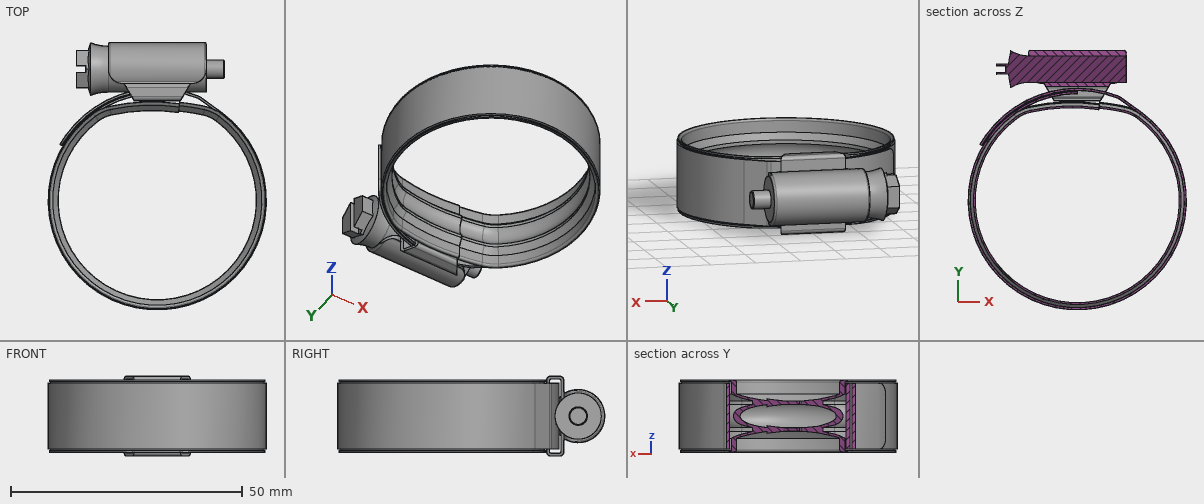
import cadquery as cq
import math


SHEET = 0.5

BAND_OUTER_R = 23.62
BAND_WIDTH = 14.3
LAP_GAP = 0.2
TAIL_END_ANGLE = 150
TAIL_CORNER_R = 2.5
CREST_BEND_R = 3.0
RAMP_SLOPE = math.radians(36)

LINER_WIDTH = 15.7
LINER_OUTER_R = BAND_OUTER_R - SHEET
RIM_THICKNESS = 0.4
RIM_HEIGHT = 0.25
RIM_ROUND = 0.5
BEAD_HEIGHT = 1.2
BEAD_FOOT_Z = 4.8
BEAD_CREST_Z = 3.3
BEAD_GROOVE_Z = 2.5
GROOVE_DEPTH = 1.0
SHOULDER_ANGLE = math.radians(36.3)
SHOULDER_R = 9.0
BRIDGE_R = 48.0
LAPPED_BRIDGE_R = 42.5
SEAM_X = 4.8

SCREW_Y = 28.45
BARREL_R = 5.0
BARREL_HALF = 10.6
STUB_R = 2.0
STUB_END_X = 14.5
STUB_CHAMFER = 0.2
COLLAR_R = 5.7
COLLAR_FRONT_X = -14.4
COLLAR_HOLLOW = 0.2
DOME_X = -15.5
HEX_FLATS = 8.12
HEX_END_X = -17.5
SLOT_WIDTH = 1.4

COVER_R = 5.77
COVER_EDGE_ROUND = 0.4
COVER_CORNER_R = 3.1
SKIRT_TOP_Y = 25.35
SKIRT_BOTTOM_Y = 21.6
SKIRT_WIDTH = 17.3
SKIRT_WALL = 0.66
SKIRT_OUTER_R = 0.9
SKIRT_INNER_R = 0.3
LIP_HALF_GAP = 6.2
SKIRT_TOP_HALF = 7.2
SKIRT_BOTTOM_HALF = 5.0
COVER_ROOT_R = 0.3


def polar(centre, radius, angle):
    """Point at an angle measured from +Y towards +X."""
    return centre[0] + radius * math.sin(angle), centre[1] + radius * math.cos(angle)


def rod_along_x(radius):
    """Rod on the screw axis, as long as the housing."""
    return cq.Workplane("YZ", origin=(-BARREL_HALF, SCREW_Y, 0)).circle(radius).extrude(2 * BARREL_HALF)


def make_band():
    """Strip swept along its path, cleared where the screw barrel bites into the raised layer."""
    ring_r = BAND_OUTER_R - SHEET / 2
    tail_r = ring_r + SHEET + LAP_GAP
    tail_angle = math.radians(90 - TAIL_END_ANGLE)
    tail_start = polar((0, 0), tail_r, tail_angle)

    bend_turn = math.acos((ring_r - CREST_BEND_R) / (tail_r - CREST_BEND_R))
    crest_angle = RAMP_SLOPE - bend_turn
    bend_centre = polar((0, 0), tail_r - CREST_BEND_R, crest_angle)

    path = (
        cq.Workplane("XY")
        .moveTo(*tail_start)
        .threePointArc(
            polar((0, 0), tail_r, (tail_angle + crest_angle) / 2),
            polar((0, 0), tail_r, crest_angle),
        )
        .threePointArc(
            polar(bend_centre, CREST_BEND_R, (crest_angle + RAMP_SLOPE) / 2),
            polar(bend_centre, CREST_BEND_R, RAMP_SLOPE),
        )
        .lineTo(*polar((0, 0), ring_r, RAMP_SLOPE))
        .threePointArc((0, -ring_r), (0, ring_r))
    )
    start_plane = cq.Plane(
        origin=(*tail_start, 0),
        xDir=(math.sin(tail_angle), math.cos(tail_angle), 0),
        normal=(math.cos(tail_angle), -math.sin(tail_angle), 0),
    )
    strip = cq.Workplane(start_plane).rect(SHEET, BAND_WIDTH).sweep(path, transition="right")
    tail_end = strip.faces(cq.selectors.NearestToPointSelector((*tail_start, 0)))
    strip = tail_end.edges("not |Z").fillet(TAIL_CORNER_R)
    return strip.cut(rod_along_x(BARREL_R))


def liner_profile(outer_r):
    """Closed section in the XZ plane, with X as the distance from the bend centre."""
    half = LINER_WIDTH / 2
    wall = outer_r - SHEET
    crest = wall - BEAD_HEIGHT
    rim = outer_r + RIM_HEIGHT
    rim_z = half - RIM_THICKNESS
    diagonal = RIM_ROUND * (1 - math.sqrt(0.5))
    return (
        cq.Workplane("XZ")
        .moveTo(wall, -half + RIM_ROUND)
        .lineTo(wall, -BEAD_FOOT_Z)
        .lineTo(crest, -BEAD_CREST_Z)
        .lineTo(crest, -BEAD_GROOVE_Z)
        .threePointArc((crest + GROOVE_DEPTH, 0), (crest, BEAD_GROOVE_Z))
        .lineTo(crest, BEAD_CREST_Z)
        .lineTo(wall, BEAD_FOOT_Z)
        .lineTo(wall, half - RIM_ROUND)
        .threePointArc((wall + diagonal, half - diagonal), (wall + RIM_ROUND, half))
        .lineTo(rim, half)
        .lineTo(rim, rim_z)
        .lineTo(outer_r, rim_z)
        .lineTo(outer_r, BEAD_FOOT_Z)
        .lineTo(crest + SHEET, BEAD_CREST_Z)
        .lineTo(crest + SHEET, BEAD_GROOVE_Z)
        .threePointArc((crest + GROOVE_DEPTH + SHEET, 0), (crest + SHEET, -BEAD_GROOVE_Z))
        .lineTo(crest + SHEET, -BEAD_CREST_Z)
        .lineTo(outer_r, -BEAD_FOOT_Z)
        .lineTo(outer_r, -rim_z)
        .lineTo(rim, -rim_z)
        .lineTo(rim, -half)
        .lineTo(wall + RIM_ROUND, -half)
        .threePointArc((wall + diagonal, -half + diagonal), (wall, -half + RIM_ROUND))
        .close()
    )


def liner_bend(centre, outer_r, start, end):
    """Stretch of liner bent about centre, between two angles from +Y towards +X."""
    sweep = math.degrees(end - start)
    bend = liner_profile(outer_r).revolve(sweep, (0, 0, 0), (0, 1, 0))
    first_edge = 90 - math.degrees(end)
    return bend.rotate((0, 0, 0), (0, 0, 1), first_edge).translate((*centre, 0))


def make_liner():
    shoulder = polar((0, 0), LINER_OUTER_R - SHOULDER_R, SHOULDER_ANGLE)
    bridge_angle = math.asin(shoulder[0] / (BRIDGE_R - SHOULDER_R))
    bridge = (0, shoulder[1] - (BRIDGE_R - SHOULDER_R) * math.cos(bridge_angle))
    lapped = polar((-shoulder[0], shoulder[1]), LAPPED_BRIDGE_R - SHOULDER_R, math.pi - bridge_angle)
    seam_angle = math.asin(SEAM_X / BRIDGE_R)
    lapped_seam_angle = math.asin((SEAM_X - lapped[0]) / LAPPED_BRIDGE_R)

    stretches = [
        liner_bend(shoulder, SHOULDER_R, bridge_angle, SHOULDER_ANGLE),
        liner_bend(bridge, BRIDGE_R, seam_angle, bridge_angle),
        liner_bend(lapped, LAPPED_BRIDGE_R, -bridge_angle, lapped_seam_angle),
        liner_bend((-shoulder[0], shoulder[1]), SHOULDER_R, -SHOULDER_ANGLE, -bridge_angle),
    ]
    liner = liner_bend((0, 0), LINER_OUTER_R, SHOULDER_ANGLE, 2 * math.pi - SHOULDER_ANGLE)
    for stretch in stretches:
        liner = liner.union(stretch)
    return liner


def make_screw():
    collar_middle = ((COLLAR_FRONT_X - BARREL_HALF) / 2, (COLLAR_R + BARREL_R) / 2 - COLLAR_HOLLOW)
    dome_r = (COLLAR_R**2 + (COLLAR_FRONT_X - DOME_X) ** 2) / (2 * (COLLAR_FRONT_X - DOME_X))
    dome_half_angle = math.asin(COLLAR_R / dome_r) / 2
    dome_middle = (DOME_X + dome_r * (1 - math.cos(dome_half_angle)), dome_r * math.sin(dome_half_angle))
    turned = (
        cq.Workplane("XY")
        .moveTo(DOME_X, 0)
        .threePointArc(dome_middle, (COLLAR_FRONT_X, COLLAR_R))
        .threePointArc(collar_middle, (-BARREL_HALF, BARREL_R))
        .lineTo(BARREL_HALF, BARREL_R)
        .lineTo(BARREL_HALF, STUB_R)
        .lineTo(STUB_END_X - STUB_CHAMFER, STUB_R)
        .lineTo(STUB_END_X, STUB_R - STUB_CHAMFER)
        .lineTo(STUB_END_X, 0)
        .close()
        .revolve(360, (0, 0, 0), (1, 0, 0))
    )
    head = (
        cq.Workplane("YZ", origin=(HEX_END_X, 0, 0))
        .polygon(6, HEX_FLATS, circumscribed=True)
        .extrude(COLLAR_FRONT_X - HEX_END_X)
    )
    slot = cq.Workplane("XY").box(DOME_X - HEX_END_X, SLOT_WIDTH, 2 * HEX_FLATS, centered=(False, True, True))
    screw = turned.union(head).cut(slot.translate((HEX_END_X, 0, 0)))
    return screw.translate((0, SCREW_Y, 0))


def side_outline():
    """Outline of the housing seen along Z: full-length cover and tapered skirt."""
    top = SCREW_Y + COVER_R
    corner = COVER_CORNER_R
    corner_y = SKIRT_TOP_Y + corner
    diagonal = corner * (1 - math.sqrt(0.5))
    return (
        cq.Workplane("XY")
        .moveTo(0, top)
        .lineTo(BARREL_HALF, top)
        .lineTo(BARREL_HALF, corner_y)
        .threePointArc(
            (BARREL_HALF - diagonal, SKIRT_TOP_Y + diagonal),
            (BARREL_HALF - corner, SKIRT_TOP_Y),
        )
        .lineTo(SKIRT_TOP_HALF, SKIRT_TOP_Y)
        .lineTo(SKIRT_BOTTOM_HALF, SKIRT_BOTTOM_Y)
        .lineTo(0, SKIRT_BOTTOM_Y)
        .mirrorY()
        .extrude(SKIRT_WIDTH, both=True)
    )


def bar_along_x(bottom_y, top_y, width):
    """Rectangular bar along X, as long as the housing."""
    return (
        cq.Workplane("XY")
        .box(2 * BARREL_HALF, top_y - bottom_y, width)
        .translate((0, (top_y + bottom_y) / 2, 0))
    )


def cover_end_trim():
    """Material outside the rounded edges at the two ends of the cover."""
    rounded = rod_along_x(COVER_R).edges().fillet(COVER_EDGE_ROUND)
    middle = cq.Workplane("XY").box(2 * (BARREL_HALF - COVER_EDGE_ROUND), 4 * COVER_R, 4 * COVER_R)
    return rod_along_x(2 * COVER_R).cut(middle.translate((0, SCREW_Y, 0))).cut(rounded)


def make_housing():
    skirt = bar_along_x(SKIRT_BOTTOM_Y, SKIRT_TOP_Y, SKIRT_WIDTH).edges("|X").fillet(SKIRT_OUTER_R)
    upper_half = bar_along_x(SKIRT_TOP_Y, SCREW_Y + COVER_R, 2 * COVER_R)
    cover = rod_along_x(COVER_R).intersect(upper_half)
    shell = skirt.union(cover)
    cover_root = cq.selectors.BoxSelector(
        (-BARREL_HALF, SKIRT_TOP_Y - SKIRT_INNER_R, -COVER_R),
        (BARREL_HALF, SKIRT_TOP_Y + SKIRT_INNER_R, COVER_R),
    )
    shell = shell.edges("|X").edges(cover_root).fillet(COVER_ROOT_R)
    channel = bar_along_x(
        SKIRT_BOTTOM_Y + SKIRT_WALL, SKIRT_TOP_Y - SKIRT_WALL, SKIRT_WIDTH - 2 * SKIRT_WALL
    )
    channel = channel.edges("|X").fillet(SKIRT_INNER_R)
    lip_gap = bar_along_x(SKIRT_BOTTOM_Y, SCREW_Y - BARREL_R, 2 * LIP_HALF_GAP)
    shell = shell.intersect(side_outline()).cut(cover_end_trim())
    return shell.cut(channel).cut(lip_gap).cut(rod_along_x(BARREL_R))


band = make_band()
liner = make_liner()
screw = make_screw()
housing = make_housing()

result = cq.Compound.makeCompound([band.val(), liner.val(), screw.val(), housing.val()])